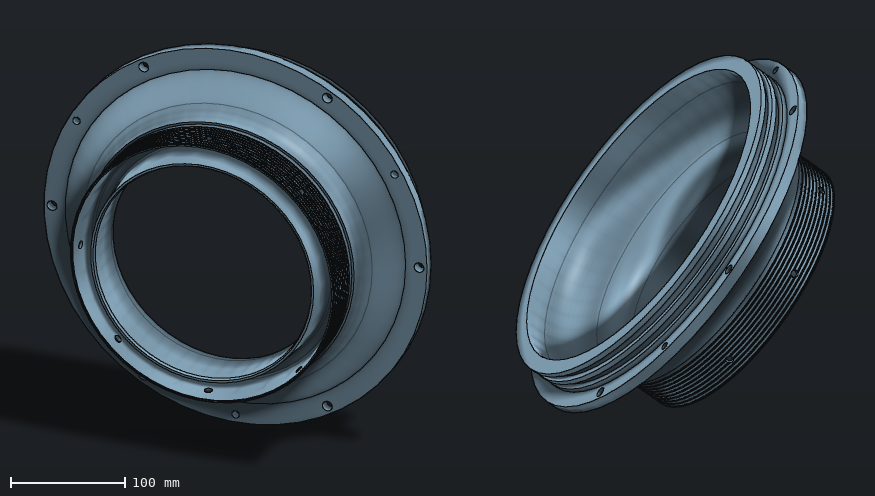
import cadquery as cq
import math


flange_radius = 180.0
total_depth = 120.0

flange_front = 80.0
flange_back = 90.0
bolt_circle_radius = 172.5
large_bolt_diameter = 9.0
small_bolt_diameter = 7.0
large_bolt_angles = [0, 60, 120, 180, 240, 300]
small_bolt_angles = [30, 150, 270]

collar_radius = 165.0
collar_bore_radius = 150.5
collar_rib_width = 5.0
seal_groove_count = 2
seal_groove_depth = 5.5
collar_length = total_depth - flange_back
seal_groove_width = (collar_length - (seal_groove_count + 1) * collar_rib_width) / seal_groove_count

tube_radius = 124.0
tube_bore_radius = 101.5
bore_mouth_radius = 102.5
bore_mouth_depth = 3.0
shoulder_start = 43.0
shoulder_radius = 126.0
cone_start = 60.5
cone_small_radius = 136.0
cone_large_radius = 160.0

flare_start = 41.0
flare_end = 99.5
flare_turn = 0.4

tube_groove_count = 10
tube_groove_first = 1.0
tube_groove_span = 36.0
tube_groove_width = 1.0
tube_groove_depth = 1.0

channel_depth = 38.0
channel_mouth_outer = 121.5
channel_mouth_inner = 104.8
channel_floor_outer = 117.7
channel_floor_inner = 107.5
channel_fillet = 1.8

radial_hole_count = 8
radial_hole_diameter = 7.0
radial_hole_position = 15.0


def ring(inner_radius, outer_radius, start, width):
    """Plain ring about the Y axis."""
    plane = cq.Workplane("XZ", origin=(0, start, 0))
    return plane.circle(outer_radius).circle(inner_radius).extrude(-width)


def turned_body():
    """Tube, shoulder, flange and collar with the flared passage through them."""
    flare_middle = (
        tube_bore_radius + flare_turn * (collar_bore_radius - tube_bore_radius),
        flare_start + flare_turn * (flare_end - flare_start),
    )
    profile = (
        cq.Workplane("XY")
        .moveTo(bore_mouth_radius, 0)
        .lineTo(tube_bore_radius, bore_mouth_depth)
        .lineTo(tube_bore_radius, flare_start)
        .tangentArcPoint(flare_middle, relative=False)
        .tangentArcPoint((collar_bore_radius, flare_end), relative=False)
        .lineTo(collar_bore_radius, total_depth)
        .lineTo(collar_radius, total_depth)
        .lineTo(collar_radius, flange_back)
        .lineTo(flange_radius, flange_back)
        .lineTo(flange_radius, flange_front)
        .lineTo(cone_large_radius, flange_front)
        .lineTo(cone_small_radius, cone_start)
        .tangentArcPoint((shoulder_radius, shoulder_start), relative=False)
        .lineTo(tube_radius, shoulder_start)
        .lineTo(tube_radius, 0)
        .close()
    )
    return profile.revolve(360, (0, 0, 0), (0, 1, 0))


def channel():
    """Ring channel whose walls lean together towards a rounded floor."""
    profile = cq.Workplane("XY").polyline([
        (channel_mouth_inner, 0),
        (channel_mouth_outer, 0),
        (channel_floor_outer, channel_depth),
        (channel_floor_inner, channel_depth),
    ]).close()
    solid = profile.revolve(360, (0, 0, 0), (0, 1, 0))
    return solid.faces(">Y").edges().fillet(channel_fillet)


def bolt_holes(diameter, angles):
    """Holes through the flange at the given angles from +X towards +Z."""
    centres = []
    for angle in angles:
        turn = math.radians(angle)
        centres.append((bolt_circle_radius * math.cos(turn), bolt_circle_radius * math.sin(turn)))
    plane = cq.Workplane("XZ", origin=(0, flange_front, 0))
    return plane.pushPoints(centres).circle(diameter / 2).extrude(flange_front - flange_back)


def radial_hole(angle):
    """Hole through the outer tube wall, reaching the middle of the channel."""
    inner_end = (channel_floor_inner + channel_floor_outer) / 2
    hole = cq.Workplane("YZ", origin=(inner_end, radial_hole_position, 0))
    hole = hole.circle(radial_hole_diameter / 2).extrude(tube_radius - inner_end)
    return hole.rotate((0, 0, 0), (0, 1, 0), angle)


result = turned_body().cut(channel())

seal_groove_root = collar_radius - seal_groove_depth
for index in range(seal_groove_count):
    groove_start = flange_back + collar_rib_width + index * (collar_rib_width + seal_groove_width)
    result = result.cut(ring(seal_groove_root, flange_radius, groove_start, seal_groove_width))

tube_groove_root = tube_radius - tube_groove_depth
tube_groove_pitch = tube_groove_span / (tube_groove_count - 1)
for index in range(tube_groove_count):
    groove_start = tube_groove_first + index * tube_groove_pitch - tube_groove_width / 2
    result = result.cut(ring(tube_groove_root, flange_radius, groove_start, tube_groove_width))

result = result.cut(bolt_holes(large_bolt_diameter, large_bolt_angles))
result = result.cut(bolt_holes(small_bolt_diameter, small_bolt_angles))

for index in range(radial_hole_count):
    result = result.cut(radial_hole(index * 360 / radial_hole_count))